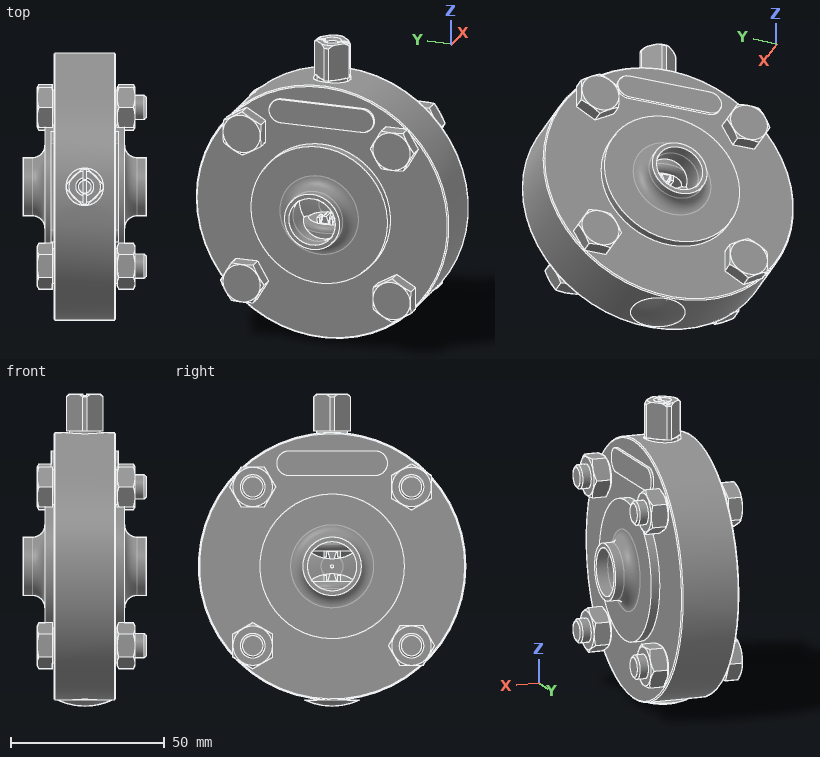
import cadquery as cq
import math

BODY_DIA = 87.0
BODY_WIDTH = 20.0
BODY_CHAMFER = 0.4
HUB_DIA = 47.0
HUB_FACE_X = 13.0
NECK_DIA = 19.0
NECK_FILLET = 4.0
END_X = 20.0

BORE_DIA = 16.0
BORE_LENGTH = 4.0
CHAMBER_DIA = 22.3

SHUTTER_EDGE_HALF_WIDTH = 1.5
SHUTTER_HALF_WIDTH = 3.0
SHUTTER_FLAT_DIA = 7.2
DIMPLE_DIA = 1.0
DIMPLE_DEPTH = 0.5
COLLAR_DIA = 20.0
COLLAR_ROUND_END_Z = 7.25
COLLAR_ROUND = 2.25
COLLAR_TIP_Z = 2.5
COLLAR_SAG_RADIUS = 5.5
COLLAR_SAG_Z = 3.3
RIB_WIDTH = 0.9
RIB_OFFSET_Y = 2.2
RIB_FACE_X = 7.5
FIN_TIP_Z = 2.3
FIN_TIP_WIDTH = 1.2
FIN_ROOT_WIDTH = 3.0

PAD_LENGTH = 36.0
PAD_HEIGHT = 8.0
PAD_CENTRE_Z = 33.5
PAD_THICKNESS = 0.9

BOLT_COUNT = 4
BOLT_START_ANGLE = 45.0
HEX_TWIST = 45.0
BOLT_CIRCLE_DIA = 73.0
BOLT_DIA = 8.0
BOLT_TIP_CHAMFER = 0.7
HEX_FLATS = 13.0
WASHER_DIA = 11.4
WASHER_THICKNESS = 0.5
HEAD_HEIGHT = 5.0
NUT_HEIGHT = 5.9
HEX_CROWN_DIA = 12.8
HEX_CROWN_DEPTH = 0.6

STEM_TOP_Z = 56.0
STEM_BASE_Z = 43.9
STEM_DIA = 12.0
STEM_FLATS = 9.5
STEM_CHAMFER = 0.9
STEM_NECK_DIA = 10.0
STEM_SEAT_DIA = 12.2
STEM_SEAT_FLOOR_Z = 40.0
STEM_HOLE_DIA = 4.13
STEM_HOLE_DEPTH = 8.0
STEM_HOLE_CHAMFER = 0.85
STEM_SLOT_WIDTH = 1.0
STEM_SLOT_DEPTH = 0.5
STEM_SLIT_DEPTH = 1.0

CAP_DIA = 17.8
CAP_HEIGHT = 2.0

X_AXIS = ((0, 0, 0), (1, 0, 0))
body_radius = BODY_DIA / 2
half_width = BODY_WIDTH / 2
ARC_MIDDLE = math.sqrt(0.5)


def cylinder_x(diameter, start, end):
    """Cylinder along the X axis between two X positions."""
    return cq.Workplane("YZ", origin=(start, 0, 0)).circle(diameter / 2).extrude(end - start)


def cylinder_z(diameter, bottom, top):
    """Cylinder along the Z axis between two heights."""
    return cq.Workplane("XY", origin=(0, 0, bottom)).circle(diameter / 2).extrude(top - bottom)


def make_body():
    """Disc with a hub and a flared pipe neck on each side."""
    body = cylinder_x(BODY_DIA, -half_width, half_width).edges().chamfer(BODY_CHAMFER)
    neck_radius = NECK_DIA / 2
    fillet_end_x = HUB_FACE_X + NECK_FILLET
    fillet_foot = neck_radius + NECK_FILLET
    hub = (
        cq.Workplane("XY")
        .lineTo(0, HUB_DIA / 2)
        .lineTo(HUB_FACE_X, HUB_DIA / 2)
        .lineTo(HUB_FACE_X, fillet_foot)
        .threePointArc(
            (fillet_end_x - NECK_FILLET * ARC_MIDDLE, fillet_foot - NECK_FILLET * ARC_MIDDLE),
            (fillet_end_x, neck_radius),
        )
        .lineTo(END_X, neck_radius)
        .lineTo(END_X, 0)
        .close()
        .revolve(360, *X_AXIS)
    )
    return body.union(hub).union(hub.mirror("YZ"))


def make_passage():
    """Volume of the straight bore ends and the double cone between them."""
    bore_radius = BORE_DIA / 2
    half = (
        cq.Workplane("XY")
        .lineTo(0, CHAMBER_DIA / 2)
        .lineTo(END_X - BORE_LENGTH, bore_radius)
        .lineTo(END_X, bore_radius)
        .lineTo(END_X, 0)
        .close()
        .revolve(360, *X_AXIS)
    )
    return half.union(half.mirror("YZ"))


def make_lens():
    """Closing disc: flat in the middle with a dimple, curving thinner toward its rim."""
    rim_radius = CHAMBER_DIA / 2
    flat_radius = SHUTTER_FLAT_DIA / 2
    thinning = SHUTTER_HALF_WIDTH - SHUTTER_EDGE_HALF_WIDTH
    half = (
        cq.Workplane("XY")
        .lineTo(-SHUTTER_HALF_WIDTH, 0)
        .lineTo(-SHUTTER_HALF_WIDTH, flat_radius)
        .threePointArc(
            (-SHUTTER_HALF_WIDTH + thinning / 3, (flat_radius + rim_radius) / 2),
            (-SHUTTER_EDGE_HALF_WIDTH, rim_radius),
        )
        .lineTo(0, rim_radius)
        .close()
        .revolve(360, *X_AXIS)
    )
    dimple = cylinder_x(DIMPLE_DIA, -SHUTTER_HALF_WIDTH, -SHUTTER_HALF_WIDTH + DIMPLE_DEPTH)
    half = half.cut(dimple)
    return half.union(half.mirror("YZ"))


def make_collar():
    """Rounded collar above the disc, with two ribs and a tapered fin on its bowl-shaped underside."""
    radius = COLLAR_DIA / 2
    round_start = radius - COLLAR_ROUND
    round_low_z = COLLAR_ROUND_END_Z - COLLAR_ROUND
    collar = (
        cq.Workplane("XZ")
        .moveTo(0, COLLAR_TIP_Z)
        .threePointArc((COLLAR_SAG_RADIUS, COLLAR_SAG_Z), (round_start, round_low_z))
        .threePointArc(
            (round_start + COLLAR_ROUND * ARC_MIDDLE, COLLAR_ROUND_END_Z - COLLAR_ROUND * ARC_MIDDLE),
            (radius, COLLAR_ROUND_END_Z),
        )
        .lineTo(radius, CHAMBER_DIA / 2)
        .lineTo(0, CHAMBER_DIA / 2)
        .close()
        .revolve(360, (0, 0, 0), (0, 1, 0))
    )
    rib_height = COLLAR_ROUND_END_Z - SHUTTER_HALF_WIDTH
    rib_centre_z = SHUTTER_HALF_WIDTH + rib_height / 2
    for offset_y in (-RIB_OFFSET_Y, RIB_OFFSET_Y):
        rib = cq.Workplane("XY").box(2 * RIB_FACE_X, RIB_WIDTH, rib_height)
        collar = collar.union(rib.translate((0, offset_y, rib_centre_z)))
    fin = (
        cq.Workplane("YZ", origin=(-RIB_FACE_X, 0, 0))
        .moveTo(-FIN_TIP_WIDTH / 2, FIN_TIP_Z)
        .lineTo(FIN_TIP_WIDTH / 2, FIN_TIP_Z)
        .lineTo(FIN_ROOT_WIDTH / 2, round_low_z)
        .lineTo(-FIN_ROOT_WIDTH / 2, round_low_z)
        .close()
        .extrude(2 * RIB_FACE_X)
    )
    return collar.union(fin)


def make_shutter():
    """Closing disc held between a collar above and a collar below."""
    collar = make_collar()
    return make_lens().union(collar).union(collar.mirror("XY"))


def make_pad():
    """Raised round-ended pads on both faces, standing on one bar through the body."""
    length_x = BODY_WIDTH + 2 * PAD_THICKNESS
    return (
        cq.Workplane("YZ", origin=(-length_x / 2, 0, PAD_CENTRE_Z))
        .slot2D(PAD_LENGTH, PAD_HEIGHT)
        .extrude(length_x)
    )


def make_hexagon(start, end, crown_start, crown_end):
    """Hexagon along X with two corners along Z; a crowned end has its corners turned conical."""
    corner_radius = HEX_FLATS / math.sqrt(3)
    crown_radius = HEX_CROWN_DIA / 2
    envelope = (
        cq.Workplane("XY")
        .moveTo(start, 0)
        .lineTo(start, crown_radius if crown_start else corner_radius)
        .lineTo(start + HEX_CROWN_DEPTH, corner_radius)
        .lineTo(end - HEX_CROWN_DEPTH, corner_radius)
        .lineTo(end, crown_radius if crown_end else corner_radius)
        .lineTo(end, 0)
        .close()
        .revolve(360, *X_AXIS)
    )
    hexagon = (
        cq.Workplane("YZ", origin=(start, 0, 0))
        .transformed(rotate=(0, 0, 90))
        .polygon(6, 2 * corner_radius)
        .extrude(end - start)
    )
    return hexagon.intersect(envelope)


def make_bolt():
    """Bolt on the X axis with its head at -X and its nut at +X."""
    seat_x = half_width + WASHER_THICKNESS
    shank = cylinder_x(BOLT_DIA, -seat_x, END_X).faces(">X").chamfer(BOLT_TIP_CHAMFER)
    washers = cylinder_x(WASHER_DIA, -seat_x, seat_x)
    head = make_hexagon(-seat_x - HEAD_HEIGHT, -seat_x, True, False)
    nut = make_hexagon(seat_x, seat_x + NUT_HEIGHT, True, True)
    return shank.union(washers).union(head).union(nut)


def make_stem():
    """Stem with a round neck, trimmed square, screwdriver slot and countersunk hole with a slit floor."""
    bar = cylinder_z(STEM_DIA, STEM_BASE_Z, STEM_TOP_Z).faces(">Z").chamfer(STEM_CHAMFER)
    square = (
        cq.Workplane("XY", origin=(0, 0, STEM_BASE_Z))
        .transformed(rotate=(0, 0, 45))
        .rect(STEM_FLATS, STEM_FLATS)
        .extrude(STEM_TOP_Z - STEM_BASE_Z)
    )
    hole_floor_z = STEM_TOP_Z - STEM_HOLE_DEPTH
    hole = cylinder_z(STEM_HOLE_DIA, hole_floor_z, STEM_TOP_Z)
    slit = hole.translate((0, 0, -STEM_SLIT_DEPTH)).intersect(
        cq.Workplane("XY", origin=(0, 0, hole_floor_z)).box(
            STEM_SLOT_WIDTH, STEM_HOLE_DIA, 2 * STEM_SLIT_DEPTH
        )
    )
    countersink = (
        cq.Workplane("XY", origin=(0, 0, STEM_TOP_Z))
        .circle(STEM_HOLE_DIA / 2 + STEM_HOLE_CHAMFER)
        .workplane(offset=-STEM_HOLE_CHAMFER)
        .circle(STEM_HOLE_DIA / 2)
        .loft()
    )
    slot = cq.Workplane("XY", origin=(0, 0, STEM_TOP_Z)).box(STEM_SLOT_WIDTH, STEM_DIA, 2 * STEM_SLOT_DEPTH)
    neck = cylinder_z(STEM_NECK_DIA, STEM_SEAT_FLOOR_Z, STEM_BASE_Z)
    return bar.intersect(square).cut(hole).cut(slit).cut(countersink).cut(slot).union(neck)


def make_cap():
    """Spherical cap whose flat rim plane touches the bottom of the body."""
    rim_radius = CAP_DIA / 2
    sphere_radius = (rim_radius**2 + CAP_HEIGHT**2) / (2 * CAP_HEIGHT)
    sphere_centre_z = -body_radius - CAP_HEIGHT + sphere_radius
    ball = cq.Workplane("XY").sphere(sphere_radius).translate((0, 0, sphere_centre_z))
    dome = ball.intersect(cylinder_z(CAP_DIA, -body_radius - CAP_HEIGHT, -body_radius))
    root = cylinder_z(STEM_NECK_DIA, -body_radius, -STEM_SEAT_FLOOR_Z)
    return dome.union(root)


result = make_body().cut(make_passage()).union(make_shutter().intersect(make_passage()))
result = result.union(make_pad().cut(make_passage()))

bolt = make_bolt().rotate(*X_AXIS, HEX_TWIST).translate((0, 0, BOLT_CIRCLE_DIA / 2))
for index in range(BOLT_COUNT):
    result = result.union(bolt.rotate(*X_AXIS, BOLT_START_ANGLE + index * 360 / BOLT_COUNT))

result = result.cut(cylinder_z(STEM_SEAT_DIA, STEM_SEAT_FLOOR_Z, body_radius))
result = result.union(make_stem()).union(make_cap())